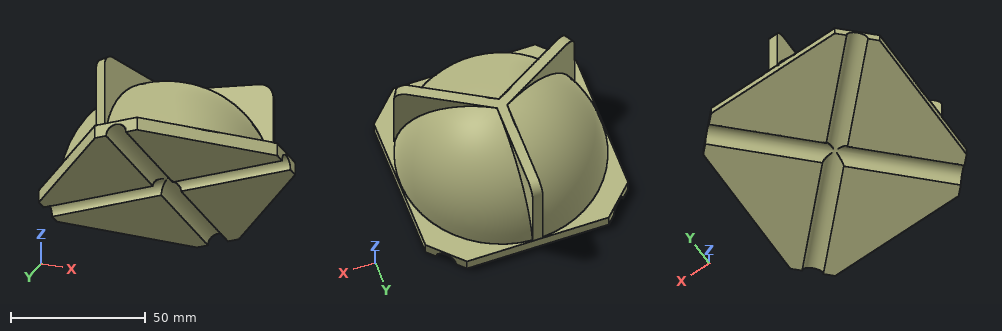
import cadquery as cq

plate_side = 80.0
plate_thickness = 5.2
corner_chamfer = 12.0
channel_radius = 4.0

total_height = 40.0
dome_radius = total_height
fin_length = plate_side / 2
fin_thickness = 4.0
fin_corner_radius = 5.2
fin_count = 3
first_fin_angle = 90.0

fin_height = total_height - plate_thickness


def make_plate():
    """Square plate with cut corners and a half-round channel along each diagonal of its underside."""
    plate = (
        cq.Workplane("XY")
        .rect(plate_side, plate_side)
        .extrude(plate_thickness)
        .edges("|Z")
        .chamfer(corner_chamfer)
    )
    channel_length = 2 * plate_side
    channel = cq.Workplane("YZ").circle(channel_radius).extrude(channel_length / 2, both=True)
    for angle in (45, 135):
        plate = plate.cut(channel.rotate((0, 0, 0), (0, 0, 1), angle))
    return plate


def make_fin(angle):
    """Upright fin from the centre outward, with a rounded top outer corner."""
    return (
        cq.Workplane("XY")
        .workplane(offset=plate_thickness)
        .box(fin_length, fin_thickness, fin_height, centered=(False, True, False))
        .edges(">X and >Z")
        .fillet(fin_corner_radius)
        .rotate((0, 0, 0), (0, 0, 1), angle)
    )


def make_finned_dome():
    """Spherical cap standing on the plate, joined with its fins."""
    above_plate = (
        cq.Workplane("XY")
        .workplane(offset=plate_thickness)
        .box(plate_side, plate_side, fin_height, centered=(True, True, False))
    )
    finned_dome = cq.Workplane("XY").sphere(dome_radius).intersect(above_plate)
    for index in range(fin_count):
        finned_dome = finned_dome.union(make_fin(first_fin_angle + index * 360 / fin_count))
    return finned_dome


plate = make_plate()
finned_dome = make_finned_dome()

result = cq.Compound.makeCompound([plate.solids().val(), finned_dome.solids().val()])